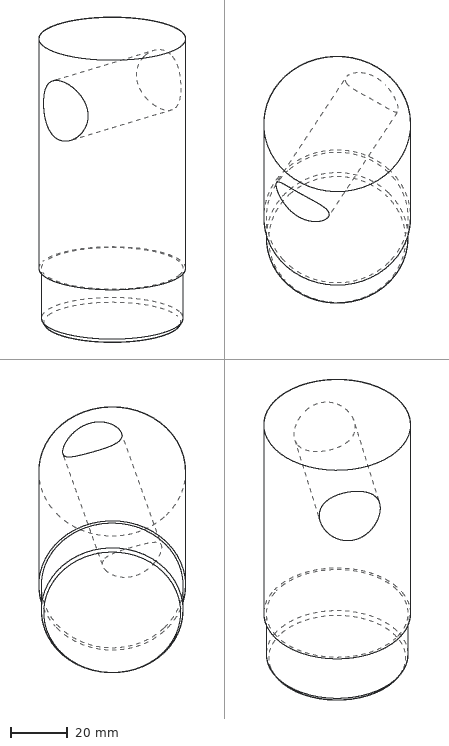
import cadquery as cq
import math

body_diameter = 52.0
total_height = 105.0

spigot_diameter = 50.2
spigot_height = 20.0
lead_in_height = 1.5
lead_in_angle = 30.0
lead_in_width = lead_in_height * math.tan(math.radians(lead_in_angle))

cross_hole_diameter = 22.0
cross_hole_below_top = 21.0


def make_spigot():
    """Lower cylinder, standing on Z = 0, with a steep lead-in chamfer."""
    spigot = cq.Workplane("XY").circle(spigot_diameter / 2).extrude(spigot_height)
    return spigot.faces("<Z").chamfer(lead_in_height, lead_in_width)


def make_body():
    """Main cylinder, resting on the spigot."""
    return (
        cq.Workplane("XY")
        .workplane(offset=spigot_height)
        .circle(body_diameter / 2)
        .extrude(total_height - spigot_height)
    )


def make_cross_hole():
    """Cutter for the hole that runs through the body along Y."""
    return (
        cq.Workplane("XZ")
        .center(0, total_height - cross_hole_below_top)
        .circle(cross_hole_diameter / 2)
        .extrude(body_diameter, both=True)
    )


result = make_spigot().union(make_body()).cut(make_cross_hole())